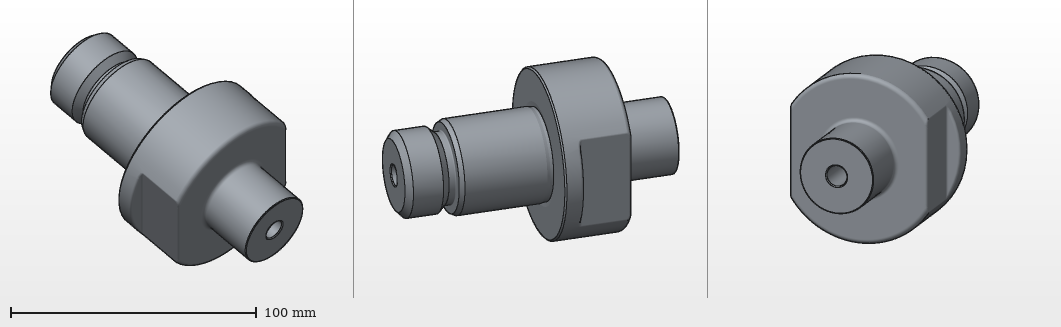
import cadquery as cq

total_length = 117.0
nose_end = 15.6
groove_start = 18.8
shaft_start = 22.0
shaft_end = 59.4
flange_start = 61.9
flange_end = 92.1

nose_radius = 18.1
groove_radius = 15.2
shaft_radius = 20.0
flange_radius = 72.0 / 2
stub_radius = 16.0
bore_radius = 4.3

nose_chamfer_length = 2.7
nose_face_radius = 15.2
groove_fillet = 0.5
lead_in_length = 2.1
lead_in_depth = 1.0

relief_depth = 0.4
relief_taper_length = 1.4
relief_face_depth = 0.2
relief_face_radius = 21.8

flange_chamfer = 0.7
flange_fillet = 2.0
stub_fillet = 1.8
stub_chamfer = 0.4
bore_chamfer = 0.5

flat_distance = 60.0 / 2
flat_start = 70.0
flat_root_fillet = 0.9
flat_edge_fillet = 1.0
selection_margin = 0.1


def turned_body():
    """Revolve the stepped outer profile about the X axis."""
    relief_radius = shaft_radius - relief_depth
    profile = (
        cq.Workplane("XY")
        .moveTo(0, 0)
        .lineTo(0, nose_face_radius)
        .lineTo(nose_chamfer_length, nose_radius)
        .lineTo(nose_end, nose_radius)
        .lineTo(groove_start, groove_radius)
        .lineTo(shaft_start - groove_fillet, groove_radius)
        .radiusArc((shaft_start, groove_radius + groove_fillet), -groove_fillet)
        .lineTo(shaft_start, shaft_radius - lead_in_depth)
        .lineTo(shaft_start + lead_in_length, shaft_radius)
        .lineTo(shaft_end, shaft_radius)
        .lineTo(shaft_end + relief_taper_length, relief_radius)
        .lineTo(flange_start + relief_face_depth, relief_radius)
        .lineTo(flange_start, relief_face_radius)
        .lineTo(flange_start, flange_radius - flange_chamfer)
        .lineTo(flange_start + flange_chamfer, flange_radius)
        .lineTo(flange_end - flange_fillet, flange_radius)
        .radiusArc((flange_end, flange_radius - flange_fillet), flange_fillet)
        .lineTo(flange_end, stub_radius + stub_fillet)
        .radiusArc((flange_end + stub_fillet, stub_radius), -stub_fillet)
        .lineTo(total_length - stub_chamfer, stub_radius)
        .lineTo(total_length, stub_radius - stub_chamfer)
        .lineTo(total_length, 0)
        .close()
    )
    return profile.revolve(360, (0, 0, 0), (1, 0, 0))


def flat_cutter(side):
    """Block that mills one flat, with a rounded root; side is +1 or -1."""
    block = cq.Workplane("XY").box(
        total_length, flange_radius, 2 * flange_radius, centered=(False, False, True)
    )
    block = block.edges("<X and <Y").fillet(flat_root_fillet)
    block = block.translate((flat_start, flat_distance, 0))
    return block if side > 0 else block.mirror("XZ")


def region(x_min, x_max, y_min, y_max):
    """Selector for edges lying wholly inside an X-Y range, at any Z within the flange."""
    return cq.selectors.BoxSelector(
        (x_min, y_min, -flange_radius), (x_max, y_max, flange_radius), boundingbox=True
    )


def cut_flats(body):
    """Mill both flats and round the sharp edges around them."""
    inner = flat_distance - selection_margin
    outer = flange_radius + selection_margin
    root_end = flat_start + flat_root_fillet + selection_margin
    root_top = flat_distance + flat_root_fillet + selection_margin
    for side in (1, -1):
        body = body.cut(flat_cutter(side))
        rim = region(flat_start - selection_margin, flange_end + selection_margin, side * inner, side * outer)
        root = region(flat_start - selection_margin, root_end, side * inner, side * root_top)
        body = body.edges(rim - root).fillet(flat_edge_fillet)
    return body


def bore_tool():
    """Through bore with a chamfer at both ends."""
    mouth_radius = bore_radius + bore_chamfer
    return (
        cq.Workplane("XY")
        .moveTo(0, 0)
        .lineTo(0, mouth_radius)
        .lineTo(bore_chamfer, bore_radius)
        .lineTo(total_length - bore_chamfer, bore_radius)
        .lineTo(total_length, mouth_radius)
        .lineTo(total_length, 0)
        .close()
        .revolve(360, (0, 0, 0), (1, 0, 0))
    )


result = cut_flats(turned_body()).cut(bore_tool())